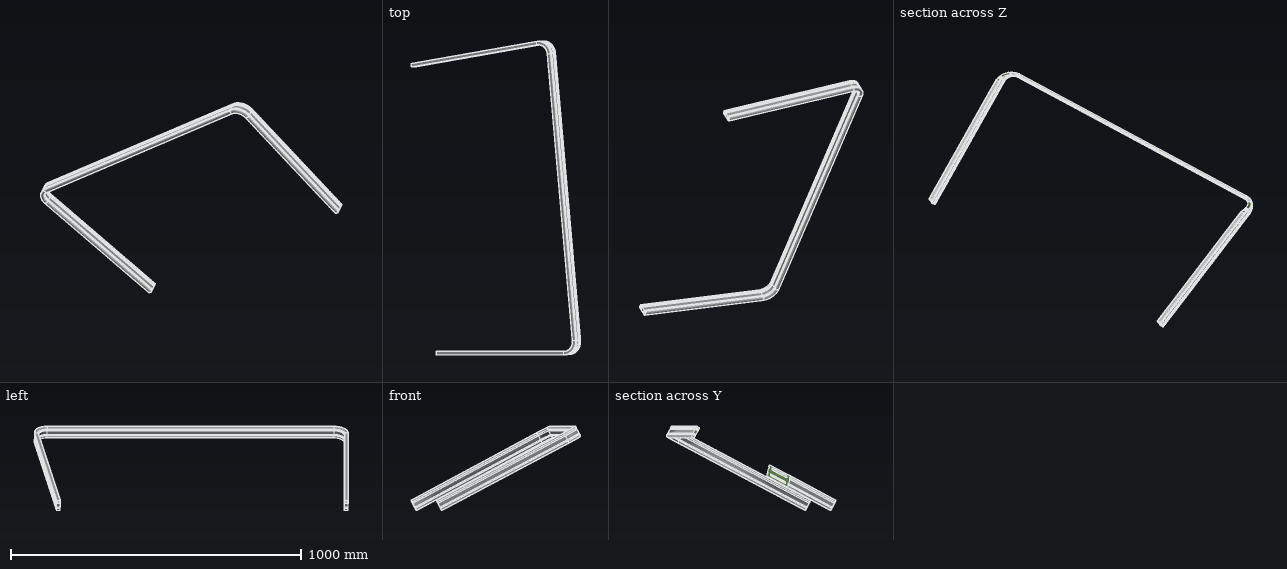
import cadquery as cq
import math

BAR_WIDTH = 13.0
BAR_DEPTH = 40.0
EDGE_RADIUS = 1.3
GROOVE_DEPTH = 0.3
CHANNEL_WIDTH = 9.0
GROOVES = [(7.0, 12.0), (27.0, 31.0)]

CROSS_BAR_LENGTH = 993.0
LEG_LENGTH = 497.0
BEND_RADIUS = 40.0

SLOPE = math.radians(28)
YAW = math.radians(5)
LEAN = math.atan(math.cos(SLOPE) * math.tan(YAW))
BEND_ANGLE = math.pi / 2 + LEAN

FRAME_PLANE = cq.Plane(
    origin=(0, 0, 0),
    xDir=(-math.sin(YAW), math.cos(YAW), 0),
    normal=(-math.sin(SLOPE) * math.cos(YAW), -math.sin(SLOPE) * math.sin(YAW), math.cos(SLOPE)),
)


def bar_section(plane):
    """Rounded bar section with grooved sides and closed channels, drawn on the given plane."""
    sketch = cq.Sketch().rect(BAR_WIDTH, BAR_DEPTH).vertices().fillet(EDGE_RADIUS).reset()
    for upper, lower in GROOVES:
        height = lower - upper
        middle = BAR_DEPTH / 2 - (upper + lower) / 2
        sketch = sketch.push([(-BAR_WIDTH / 2, middle), (BAR_WIDTH / 2, middle)])
        sketch = sketch.rect(2 * GROOVE_DEPTH, height, mode="s").reset()
        sketch = sketch.push([(0, middle)]).rect(CHANNEL_WIDTH, height, mode="s").reset()
    return cq.Workplane(plane).placeSketch(sketch)


def section_plane(x, y, angle):
    """Plane square to a bar that passes (x, y) heading at the angle from local X."""
    heading = (math.cos(angle), math.sin(angle), 0)
    across = (-math.sin(angle), math.cos(angle), 0)
    return cq.Plane(origin=(x, y, 0), xDir=across, normal=heading)


def make_cross_bar():
    return bar_section(section_plane(-CROSS_BAR_LENGTH / 2, 0, 0)).extrude(CROSS_BAR_LENGTH)


def make_bend():
    """Bend at the +X end of the cross bar, turning towards local +Y."""
    section = bar_section(section_plane(CROSS_BAR_LENGTH / 2, 0, 0))
    return section.revolve(math.degrees(BEND_ANGLE), (BEND_RADIUS, 0, 0), (BEND_RADIUS, 1, 0))


def make_leg():
    """Leg that carries on from the +X bend."""
    start_x = CROSS_BAR_LENGTH / 2 + BEND_RADIUS * math.sin(BEND_ANGLE)
    start_y = BEND_RADIUS * (1 - math.cos(BEND_ANGLE))
    return bar_section(section_plane(start_x, start_y, BEND_ANGLE)).extrude(LEG_LENGTH)


def both_ends(body):
    """The body at the +X end and its mirror image at the -X end."""
    return [body, body.mirror("YZ")]


cross_bar = make_cross_bar()
bends = both_ends(make_bend())
legs = both_ends(make_leg())

bodies = [cross_bar, *bends, *legs]
result = cq.Compound.makeCompound([body.val().moved(cq.Location(FRAME_PLANE)) for body in bodies])